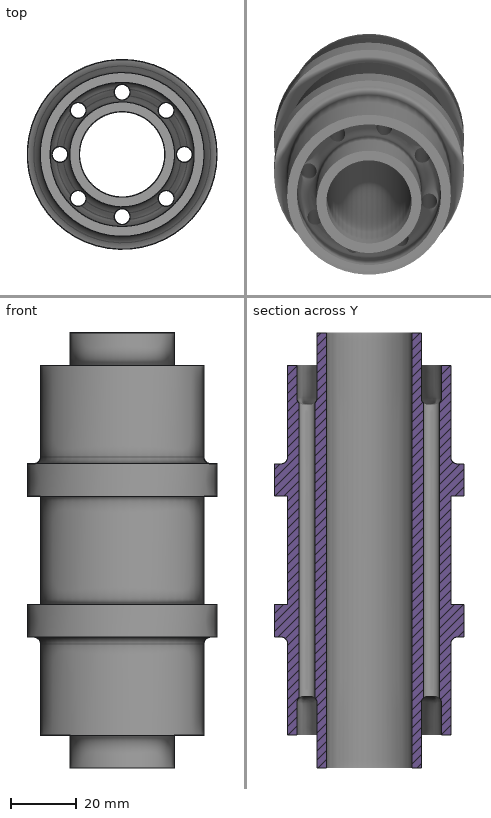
import cadquery as cq

TUBE_LENGTH = 133.0
TUBE_OUTER_DIAMETER = 32.0
BORE_DIAMETER = 26.0

TUBE_PROTRUSION = 10.0
SLEEVE_DIAMETER = 50.0
SLEEVE_WALL = 3.0

COLLAR_DIAMETER = 58.0
COLLAR_WIDTH = 10.0
COLLAR_SETBACK = 30.0

POCKET_DEPTH = 12.0
FILLET_RADIUS = 2.0

HOLE_COUNT = 8
HOLE_DIAMETER = 4.75

sleeve_length = TUBE_LENGTH - 2 * TUBE_PROTRUSION
sleeve_end = sleeve_length / 2
collar_face = sleeve_end - COLLAR_SETBACK
pocket_floor = sleeve_end - POCKET_DEPTH
tube_radius = TUBE_OUTER_DIAMETER / 2
sleeve_radius = SLEEVE_DIAMETER / 2
pocket_radius = sleeve_radius - SLEEVE_WALL
hole_circle_radius = (tube_radius + pocket_radius) / 2


def centred_cylinder(diameter, length):
    """Cylinder along Z, centred on the origin."""
    return cq.Workplane("XY").workplane(offset=-length / 2).circle(diameter / 2).extrude(length)


def upper_collar():
    """Collar ring with a concave fillet where its outward face meets the sleeve."""
    inner_face = collar_face - COLLAR_WIDTH
    fillet_top = collar_face + FILLET_RADIUS
    fillet_edge = sleeve_radius + FILLET_RADIUS
    return (
        cq.Workplane("XZ")
        .moveTo(tube_radius, inner_face)
        .lineTo(COLLAR_DIAMETER / 2, inner_face)
        .lineTo(COLLAR_DIAMETER / 2, collar_face)
        .lineTo(fillet_edge, collar_face)
        .radiusArc((sleeve_radius, fillet_top), FILLET_RADIUS)
        .lineTo(tube_radius, fillet_top)
        .close()
        .revolve(360, (0, 0, 0), (0, 1, 0))
    )


def upper_pocket():
    """Annular pocket volume, open at the sleeve end and rounded along its floor."""
    return (
        cq.Workplane("XY")
        .workplane(offset=pocket_floor)
        .circle(pocket_radius)
        .circle(tube_radius)
        .extrude(POCKET_DEPTH)
        .faces("<Z")
        .edges()
        .fillet(FILLET_RADIUS)
    )


def with_lower_copy(shape):
    """Add the mirror image of an upper-end shape at the lower end."""
    return shape.union(shape.mirror("XY"))


def axial_holes():
    """Ring of hole volumes passing through the web between the pockets."""
    return (
        cq.Workplane("XY")
        .workplane(offset=-sleeve_end)
        .polarArray(hole_circle_radius, 0, 360, HOLE_COUNT)
        .circle(HOLE_DIAMETER / 2)
        .extrude(sleeve_length)
    )


body = centred_cylinder(SLEEVE_DIAMETER, sleeve_length)
body = body.union(centred_cylinder(TUBE_OUTER_DIAMETER, TUBE_LENGTH))
body = body.union(with_lower_copy(upper_collar()))
body = body.cut(with_lower_copy(upper_pocket()))
body = body.cut(axial_holes())
result = body.cut(centred_cylinder(BORE_DIAMETER, TUBE_LENGTH))